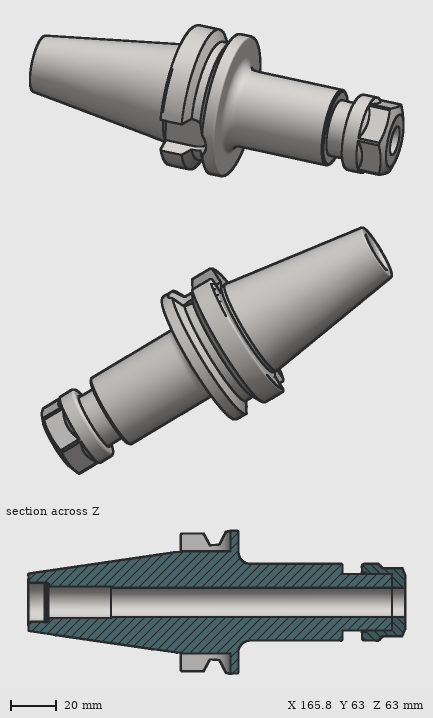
import cadquery as cq
import math

total_length = 165.8
taper_length = 65.5
flange_start = 67.0
flange_end = 92.5
body_end = 138.3
nut_start = 146.5
hex_start = 153.9

gauge_dia = 44.5
neck_dia = 44.3
taper_ratio = 7 / 24
small_end_round = 0.8
flange_dia = 63
flange_edge = 1.0
groove_dia = 53.2
groove_start = 77.1
groove_end = 86.9
groove_flank = 2.8
body_dia = 34.0
body_fillet = 5
body_edge = 0.7
nose_dia = 25.0
nose_end = 160.0

through_dia = 12.8
thread_dia = 13.8
floor_dia = 15.8
relief_dia = 17.4
entry_dia = 17.0
mouth_round = 1.5
entry_depth = 7.1
relief_depth = 8.1
floor_depth = 9.0
thread_depth = 36.5

slot_width = 17.0
slot_tip = 88.9
slot_floor = 22.5

nut_dia = 34.0
across_flats = 30.0
nut_back_round = 1.5
nut_entry_dia = 26.0
nut_entry_depth = 1.7
nut_ring_dia = 26.0
nut_face_dia = 23.5
nut_cone_start = 163.6
nut_ring_at = 165.3


def turned(outline):
    """Revolve a closed (x, radius) outline about the X axis."""
    return outline.revolve(360, (0, 0, 0), (1, 0, 0))


def cylinder(start, end, dia):
    """Round bar along X between two stations."""
    return cq.Workplane("YZ").workplane(offset=start).circle(dia / 2).extrude(end - start)


def holder_outside():
    """Turned outside of the holder: taper, grooved flange, body and nose."""
    rim_radius = (gauge_dia - taper_ratio * (taper_length - small_end_round)) / 2
    outline = (
        cq.Workplane("XY")
        .moveTo(0, 0)
        .lineTo(0, rim_radius - small_end_round)
        .radiusArc((small_end_round, rim_radius), small_end_round)
        .lineTo(taper_length, gauge_dia / 2)
        .lineTo(taper_length, neck_dia / 2)
        .lineTo(flange_start, neck_dia / 2)
        .lineTo(flange_start, flange_dia / 2 - flange_edge)
        .radiusArc((flange_start + flange_edge, flange_dia / 2), flange_edge)
        .lineTo(groove_start, flange_dia / 2)
        .lineTo(groove_start + groove_flank, groove_dia / 2)
        .lineTo(groove_end - groove_flank, groove_dia / 2)
        .lineTo(groove_end, flange_dia / 2)
        .lineTo(flange_end - flange_edge, flange_dia / 2)
        .radiusArc((flange_end, flange_dia / 2 - flange_edge), flange_edge)
        .lineTo(flange_end, body_dia / 2 + body_fillet)
        .radiusArc((flange_end + body_fillet, body_dia / 2), -body_fillet)
        .lineTo(body_end - body_edge, body_dia / 2)
        .lineTo(body_end, body_dia / 2 - body_edge)
        .lineTo(body_end, nose_dia / 2)
        .lineTo(nose_end, nose_dia / 2)
        .lineTo(nose_end, 0)
        .close()
    )
    return turned(outline)


def drawbar_bore():
    """Stepped bore from the small end through the whole holder."""
    profile = (
        cq.Workplane("XY")
        .moveTo(0, 0)
        .lineTo(0, entry_dia / 2 + mouth_round)
        .radiusArc((mouth_round, entry_dia / 2), -mouth_round)
        .lineTo(entry_depth, entry_dia / 2)
        .lineTo(entry_depth, relief_dia / 2)
        .lineTo(relief_depth, relief_dia / 2)
        .lineTo(floor_depth, floor_dia / 2)
        .lineTo(floor_depth, thread_dia / 2)
        .lineTo(thread_depth, thread_dia / 2)
        .lineTo(thread_depth, through_dia / 2)
        .lineTo(nose_end, through_dia / 2)
        .lineTo(nose_end, 0)
        .close()
    )
    return turned(profile)


def drive_slot(side):
    """Round-ended slot in the flange; side is -1 or +1 along Y."""
    radius = slot_width / 2
    tip_center = slot_tip - radius
    profile = (
        cq.Workplane("XZ", origin=(0, side * slot_floor, 0))
        .moveTo(flange_start, -radius)
        .lineTo(tip_center, -radius)
        .threePointArc((slot_tip, 0), (tip_center, radius))
        .lineTo(flange_start, radius)
        .close()
    )
    return profile.extrude(-side * flange_dia / 2)


def make_holder():
    holder = holder_outside().cut(drawbar_bore())
    for side in (-1, 1):
        holder = holder.cut(drive_slot(side))
    return holder


def nut_envelope():
    """Turned outside of the nut: rounded back rim and coned front."""
    profile = (
        cq.Workplane("XY")
        .moveTo(nut_start, 0)
        .lineTo(nut_start, nut_dia / 2 - nut_back_round)
        .radiusArc((nut_start + nut_back_round, nut_dia / 2), nut_back_round)
        .lineTo(nut_cone_start, nut_dia / 2)
        .lineTo(nut_ring_at, nut_ring_dia / 2)
        .lineTo(total_length, nut_face_dia / 2)
        .lineTo(total_length, 0)
        .close()
    )
    return turned(profile)


def wrench_flats():
    """Material outside the hexagon; a cone keeps a sloping shoulder on the collar."""
    corner_dia = across_flats / math.cos(math.pi / 6)
    flat_drop = (nut_dia - across_flats) / 2
    ring = turned(
        cq.Workplane("XY")
        .moveTo(hex_start, nut_dia / 2)
        .lineTo(hex_start + flat_drop, across_flats / 2)
        .lineTo(total_length, across_flats / 2)
        .lineTo(total_length, nut_dia)
        .lineTo(hex_start, nut_dia)
        .close()
    )
    hexagon = (
        cq.Workplane("YZ").workplane(offset=hex_start)
        .transformed(rotate=(0, 0, 90)).polygon(6, corner_dia)
        .extrude(total_length - hex_start)
    )
    return ring.cut(hexagon)


def make_nut():
    nut = nut_envelope().cut(wrench_flats())
    nut = nut.cut(cylinder(nut_start, nut_start + nut_entry_depth, nut_entry_dia))
    nut = nut.cut(cylinder(nut_start, nose_end, nose_dia))
    return nut.cut(cylinder(nut_start, total_length, through_dia))


holder = make_holder()
nut = make_nut()
result = cq.Compound.makeCompound([holder.val(), nut.val()])